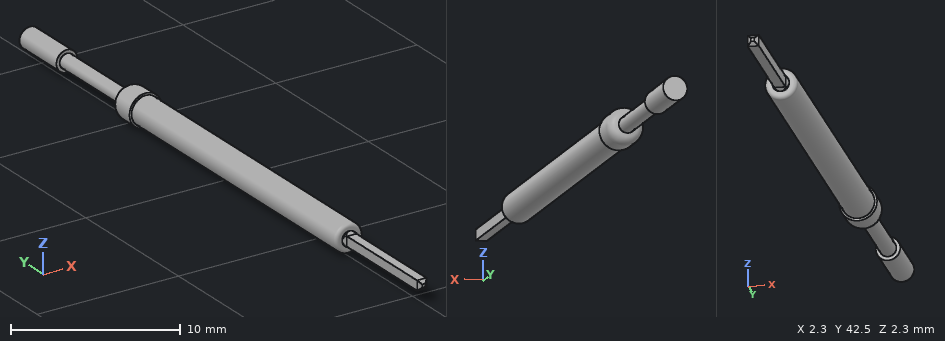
import cadquery as cq

total_length = 42.5

head_diameter = 1.5
head_length = 4.0
shaft_diameter = 1.0
shaft_length = 6.5

collar_diameter = 2.3
collar_length = 2.0
barrel_diameter = 2.0
barrel_end = 8.05
barrel_rounding = 0.25

tail_width = 0.7
neck_width = 1.0
neck_length = 0.25
point_tip_width = 0.2
point_length = 0.2

head_start = total_length - head_length
collar_end = head_start - shaft_length
collar_start = collar_end - collar_length
collar_rounding = (collar_diameter - shaft_diameter) / 2


def cylinder(diameter, start, end):
    """Round bar along Y between two stations."""
    return cq.Workplane("XZ", origin=(0, start, 0)).circle(diameter / 2).extrude(start - end)


def square_taper(start_width, end_width, start, end):
    """Square bar along Y whose width changes evenly between two stations."""
    return (
        cq.Workplane("XZ", origin=(0, start, 0))
        .rect(start_width, start_width)
        .workplane(offset=start - end)
        .rect(end_width, end_width)
        .loft(ruled=True)
    )


def make_plunger():
    head = cylinder(head_diameter, head_start, total_length)
    shaft = cylinder(shaft_diameter, collar_end, head_start)
    return head.union(shaft)


def make_collar():
    """Revolved collar whose rounded end runs right down to the plunger shaft."""
    radius = collar_diameter / 2
    profile = (
        cq.Workplane("XY")
        .moveTo(0, collar_start)
        .lineTo(radius, collar_start)
        .lineTo(radius, collar_end - collar_rounding)
        .radiusArc((shaft_diameter / 2, collar_end), -collar_rounding)
        .lineTo(0, collar_end)
        .close()
    )
    return profile.revolve(360, (0, 0, 0), (0, 1, 0))


def make_barrel():
    return cylinder(barrel_diameter, barrel_end, collar_start).faces("<Y").edges().fillet(barrel_rounding)


def make_tail():
    neck_start = barrel_end - neck_length
    flare = square_taper(tail_width, neck_width, neck_start, barrel_end)
    neck = flare.intersect(cylinder(neck_width, neck_start, barrel_end))
    tail = square_taper(tail_width, tail_width, point_length, barrel_end)
    point = square_taper(point_tip_width, tail_width, 0, point_length)
    return neck.union(tail).union(point)


result = make_plunger().union(make_collar()).union(make_barrel()).union(make_tail())